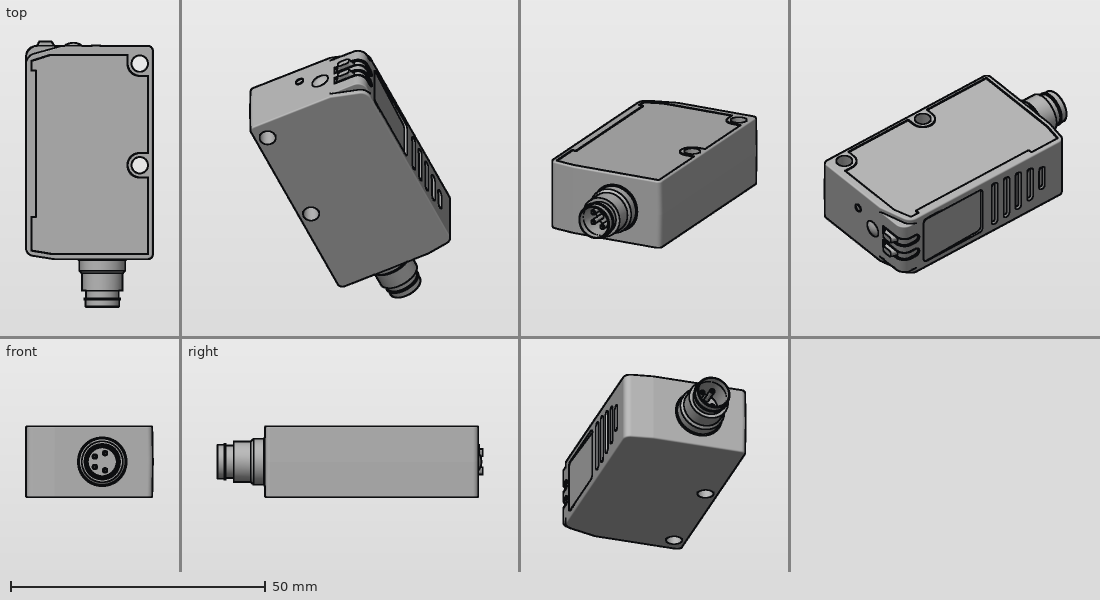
import cadquery as cq
import math


WIDTH = 25.0
LENGTH = 42.0
HEIGHT = 14.0
HALF_HEIGHT = HEIGHT / 2
SIDE_DRAFT = 0.13
BACK_CORNER_RADIUS = 1.05
RIM_RADIUS = 0.3
FRONT_TAPER_START = 5.6
FRONT_TAPER_ANGLE = 9.0
FRONT_CORNER_RADIUS = 1.5
FRONT_TAPER_BLEND_RADIUS = 2.1
REAR_CORNER_RADIUS = 2.1

NOTCH_DEPTH = 1.1
NOTCH_START = 7.15
NOTCH_ANGLE = 15.5
NOTCH_CORNER_RADIUS = 2.2

SHOULDER_WIDTH = 9.4
SHOULDER_LENGTH = 6.3
SHOULDER_RIM_RADIUS = 0.2

HOLE_DIAMETER = 3.2
HOLE_X = WIDTH - 2.6
REAR_HOLE_Y = LENGTH - 3.5
HOLE_SPACING = 20.0

LABEL_DEPTH = 0.1
LABEL_WALL_SLOPE = 45
LABEL_LEFT = 1.05
LABEL_STEP = 0.85
LABEL_RIGHT = 24.05
LABEL_FRONT = 1.0
LABEL_REAR = 40.25
LABEL_STEP_FRONT = 8.4
LABEL_STEP_REAR = 37.1
LABEL_FRONT_TAPER_X = 5.1
LABEL_FRONT_CORNER_Y = 1.65
LABEL_REAR_TAPER_X = 4.8
LABEL_REAR_CORNER_Y = 39.05
LABEL_HOLE_RADIUS = 2.35

WINDOW_LENGTH = 14.95
WINDOW_HEIGHT = 10.95
WINDOW_REAR_Y = LENGTH - 5.35
WINDOW_CORNER_RADIUS = 0.85
WINDOW_SHALLOW = 0.1
WINDOW_DEEP = 0.6

FIRST_SLOT_Y = 18.6
LAST_SLOT_Y = 6.6
SLOT_WIDTH = 1.5
SLOT_HEIGHTS = (10.55, 10.25, 9.4, 8.15, 5.65)
SLOT_DEPTH = 0.4
SLOT_FLOOR_WIDTH = 0.75

BUTTON_Z = 1.8
CHANNEL_WIDTH = 1.85
CHANNEL_DEPTH = 0.3
CHANNEL_WALL_CHAMFER = 0.15
CHANNEL_END_X = 6.3
CHANNEL_END_Y = LENGTH - 4.25

BUTTON_FOOT_START = 2.05
BUTTON_FOOT_END = 5.8
BUTTON_TOP_START = 2.6
BUTTON_TOP_END = 5.0
BUTTON_RISE = 0.9
BUTTON_HEIGHT = 1.45
BUTTON_CORNER_RADIUS = 0.5

LAMP_X = 9.3
LAMP_RADIUS = 1.7
LAMP_RISE = 0.65
MARKER_X = 13.75
MARKER_Z = 2.5
MARKER_DIAMETER = 1.6
MARKER_RISE = 0.15

CONNECTOR_X = 15.0
OVERALL_LENGTH = 52.3
CONNECTOR_LENGTH = OVERALL_LENGTH - LENGTH - BUTTON_RISE
FOOT_RADIUS = 4.8
FOOT_LENGTH = 0.2
COLLAR_RADIUS = 4.55
COLLAR_END = 2.2
BARREL_RADIUS = 4.05
BARREL_START = 2.75
BARREL_END = 6.15
NECK_RADIUS = 3.25
BEAD_RADIUS = 3.5
BEAD_START = 7.7
BEAD_WIDTH = 0.25
LIP_RADIUS = 3.35
LIP_CHAMFER = 0.15
BORE_FLOOR_RADIUS = 2.8
BORE_MOUTH_RADIUS = 3.15
BORE_DEPTH = 6.3

PIN_RADIUS = 0.45
PIN_TIP_RADIUS = 0.25
PIN_TIP_LENGTH = 0.2
PIN_LENGTH = 3.9
PIN_CIRCLE_RADIUS = 1.8
PIN_ANGLES = (72, 145, 215, 288)


def corner_cutter(slope_angle, slope_start, radius):
    """Full-height waste outside a -Y corner that slopes back and rounds into the -X face."""
    slope = math.radians(slope_angle)
    half_turn = (math.pi / 2 - slope) / 2
    tangent = radius * math.tan(half_turn)
    side_end_y = slope_start * math.tan(slope) + tangent
    slope_end = (tangent * math.cos(slope), (slope_start - tangent * math.cos(slope)) * math.tan(slope))
    arc_mid = (radius - radius * math.cos(half_turn), side_end_y - radius * math.sin(half_turn))
    return (
        cq.Workplane("XY", origin=(0, 0, -HALF_HEIGHT))
        .moveTo(slope_start, 0)
        .lineTo(*slope_end)
        .threePointArc(arc_mid, (0, side_end_y))
        .lineTo(0, 0)
        .close()
        .extrude(HEIGHT)
    )


def make_block():
    """Full-height block with a drafted +X face, shaped corners and rounded rims."""
    block = (
        cq.Workplane("XZ")
        .polyline([
            (0, -HALF_HEIGHT),
            (WIDTH - SIDE_DRAFT, -HALF_HEIGHT),
            (WIDTH, 0),
            (WIDTH - SIDE_DRAFT, HALF_HEIGHT),
            (0, HALF_HEIGHT),
        ])
        .close()
        .extrude(-LENGTH)
    )
    back_side = cq.selectors.BoxSelector((WIDTH / 2, -0.5, -HEIGHT), (WIDTH + 0.5, LENGTH + 0.5, HEIGHT))
    block = block.edges("#Y").edges("not |X").edges(back_side).fillet(BACK_CORNER_RADIUS)
    front_waste = corner_cutter(FRONT_TAPER_ANGLE, FRONT_TAPER_START, FRONT_CORNER_RADIUS)
    rear_waste = corner_cutter(NOTCH_ANGLE, NOTCH_START, NOTCH_CORNER_RADIUS)
    block = block.cut(front_waste).cut(rear_waste.mirror("XZ").translate((0, LENGTH, 0)))
    taper_edge = cq.selectors.NearestToPointSelector((FRONT_TAPER_START, 0, 0))
    block = block.edges("|Z").edges(taper_edge).fillet(FRONT_TAPER_BLEND_RADIUS)
    return block.faces(">Z or <Z").edges().fillet(RIM_RADIUS)


def make_shoulder():
    """Lower block that fills the rear corner between the two notches."""
    return (
        cq.Workplane("XY", origin=(0, LENGTH - SHOULDER_LENGTH, NOTCH_DEPTH - HALF_HEIGHT))
        .rect(SHOULDER_WIDTH, SHOULDER_LENGTH, centered=False)
        .extrude(HEIGHT - 2 * NOTCH_DEPTH)
        .edges("|Z and <X and >Y")
        .fillet(REAR_CORNER_RADIUS)
        .faces(">Z or <Z")
        .edges()
        .fillet(SHOULDER_RIM_RADIUS)
    )


def make_label_recess():
    """Shallow pocket that skirts the mounting holes and has sloped walls."""
    step_x = LABEL_LEFT + LABEL_STEP
    front_hole_y = REAR_HOLE_Y - HOLE_SPACING
    bay_x = HOLE_X - LABEL_HOLE_RADIUS
    diagonal = LABEL_HOLE_RADIUS * math.sqrt(0.5)
    return (
        cq.Workplane("XY", origin=(0, 0, HALF_HEIGHT))
        .moveTo(LABEL_RIGHT, LABEL_FRONT)
        .lineTo(LABEL_RIGHT, front_hole_y - LABEL_HOLE_RADIUS)
        .lineTo(HOLE_X, front_hole_y - LABEL_HOLE_RADIUS)
        .threePointArc((bay_x, front_hole_y), (HOLE_X, front_hole_y + LABEL_HOLE_RADIUS))
        .lineTo(LABEL_RIGHT, front_hole_y + LABEL_HOLE_RADIUS)
        .lineTo(LABEL_RIGHT, REAR_HOLE_Y - LABEL_HOLE_RADIUS)
        .lineTo(HOLE_X, REAR_HOLE_Y - LABEL_HOLE_RADIUS)
        .threePointArc((HOLE_X - diagonal, REAR_HOLE_Y - diagonal), (bay_x, REAR_HOLE_Y))
        .lineTo(bay_x, LABEL_REAR)
        .lineTo(LABEL_REAR_TAPER_X, LABEL_REAR)
        .lineTo(LABEL_LEFT, LABEL_REAR_CORNER_Y)
        .lineTo(LABEL_LEFT, LABEL_STEP_REAR)
        .lineTo(step_x, LABEL_STEP_REAR)
        .lineTo(step_x, LABEL_STEP_FRONT)
        .lineTo(LABEL_LEFT, LABEL_STEP_FRONT)
        .lineTo(LABEL_LEFT, LABEL_FRONT_CORNER_Y)
        .lineTo(LABEL_FRONT_TAPER_X, LABEL_FRONT)
        .close()
        .extrude(-LABEL_DEPTH, taper=LABEL_WALL_SLOPE)
    )


def make_window_recess():
    """Rounded rectangular pocket with a sloping floor."""
    front_y = WINDOW_REAR_Y - WINDOW_LENGTH
    wedge = (
        cq.Workplane("XY", origin=(0, 0, -WINDOW_HEIGHT / 2))
        .polyline([(0, front_y), (WINDOW_DEEP, front_y), (WINDOW_SHALLOW, WINDOW_REAR_Y), (0, WINDOW_REAR_Y)])
        .close()
        .extrude(WINDOW_HEIGHT)
    )
    outline = (
        cq.Workplane("YZ", origin=(0, (front_y + WINDOW_REAR_Y) / 2, 0))
        .rect(WINDOW_LENGTH, WINDOW_HEIGHT)
        .extrude(WINDOW_DEEP)
        .edges("|X")
        .fillet(WINDOW_CORNER_RADIUS)
    )
    return wedge.intersect(outline)


def make_grip_slot(y, height):
    """Round-ended slot with walls that slope to a narrower floor."""
    inset = (SLOT_WIDTH - SLOT_FLOOR_WIDTH) / 2
    taper = math.degrees(math.atan(inset / SLOT_DEPTH))
    return (
        cq.Workplane("YZ", origin=(0, y, 0))
        .slot2D(height, SLOT_WIDTH, 90)
        .extrude(SLOT_DEPTH, taper=taper)
    )


def make_channel(z):
    """Round-ended groove of constant depth that follows the rear corner."""
    core = (
        cq.Workplane("XY", origin=(CHANNEL_DEPTH, 0, -HALF_HEIGHT))
        .rect(WIDTH, LENGTH - CHANNEL_DEPTH, centered=False)
        .extrude(HEIGHT)
        .edges("|Z and <X and >Y")
        .fillet(REAR_CORNER_RADIUS - CHANNEL_DEPTH)
    )
    end_radius = CHANNEL_WIDTH / 2
    band = (
        cq.Workplane("YZ", origin=(0, 0, z))
        .moveTo(LENGTH, -end_radius)
        .lineTo(CHANNEL_END_Y + end_radius, -end_radius)
        .threePointArc((CHANNEL_END_Y, 0), (CHANNEL_END_Y + end_radius, end_radius))
        .lineTo(LENGTH, end_radius)
        .close()
        .extrude(CHANNEL_END_X)
    )
    floor_zone = cq.selectors.BoxSelector(
        (CHANNEL_DEPTH / 2, 0, -HEIGHT),
        (CHANNEL_END_X + 0.5, LENGTH - CHANNEL_DEPTH / 2, HEIGHT),
        boundingbox=True,
    )
    return band.cut(core).edges(floor_zone).edges("not |Z").chamfer(CHANNEL_WALL_CHAMFER)


def make_housing():
    housing = make_block().union(make_shoulder()).cut(make_label_recess()).cut(make_window_recess())
    slot_pitch = (FIRST_SLOT_Y - LAST_SLOT_Y) / (len(SLOT_HEIGHTS) - 1)
    for number, height in enumerate(SLOT_HEIGHTS):
        housing = housing.cut(make_grip_slot(FIRST_SLOT_Y - number * slot_pitch, height))
    for z in (-BUTTON_Z, BUTTON_Z):
        housing = housing.cut(make_channel(z))
    holes = (
        cq.Workplane("XY", origin=(0, 0, -HALF_HEIGHT))
        .pushPoints([(HOLE_X, REAR_HOLE_Y), (HOLE_X, REAR_HOLE_Y - HOLE_SPACING)])
        .circle(HOLE_DIAMETER / 2)
        .extrude(HEIGHT)
    )
    marker = (
        cq.Workplane("XZ", origin=(MARKER_X, LENGTH, MARKER_Z))
        .circle(MARKER_DIAMETER / 2)
        .extrude(-MARKER_RISE)
    )
    return housing.cut(holes).union(marker)


def make_button(z):
    """Tapered button with rounded corners that stands on the channel floor."""
    floor_y = LENGTH - CHANNEL_DEPTH
    top_y = LENGTH + BUTTON_RISE
    return (
        cq.Workplane("XY", origin=(0, 0, z - BUTTON_HEIGHT / 2))
        .polyline([
            (BUTTON_FOOT_START, floor_y),
            (BUTTON_TOP_START, top_y),
            (BUTTON_TOP_END, top_y),
            (BUTTON_FOOT_END, floor_y),
        ])
        .close()
        .extrude(BUTTON_HEIGHT)
        .edges("not (|X or |Z)")
        .fillet(BUTTON_CORNER_RADIUS)
    )


def make_lamp():
    """Spherical cap on the +Y face."""
    sphere_radius = (LAMP_RADIUS ** 2 + LAMP_RISE ** 2) / (2 * LAMP_RISE)
    half_angle = math.asin(LAMP_RADIUS / sphere_radius) / 2
    centre_y = LAMP_RISE - sphere_radius
    arc_mid = (sphere_radius * math.sin(half_angle), centre_y + sphere_radius * math.cos(half_angle))
    return (
        cq.Workplane("XY", origin=(LAMP_X, LENGTH, 0))
        .lineTo(LAMP_RADIUS, 0)
        .threePointArc(arc_mid, (0, LAMP_RISE))
        .close()
        .revolve(360, (0, 0), (0, 1))
    )


def make_connector():
    """Stepped round plug with a blind tapered bore, along -Y."""
    end = CONNECTOR_LENGTH
    profile = [
        (0, 0),
        (FOOT_RADIUS, 0),
        (COLLAR_RADIUS, -FOOT_LENGTH),
        (COLLAR_RADIUS, -COLLAR_END),
        (BARREL_RADIUS, -BARREL_START),
        (BARREL_RADIUS, -BARREL_END),
        (NECK_RADIUS, -BARREL_END),
        (NECK_RADIUS, -BEAD_START),
        (BEAD_RADIUS, -BEAD_START),
        (BEAD_RADIUS, -BEAD_START - BEAD_WIDTH),
        (LIP_RADIUS, -BEAD_START - BEAD_WIDTH),
        (LIP_RADIUS, -end + LIP_CHAMFER),
        (LIP_RADIUS - LIP_CHAMFER, -end),
        (BORE_MOUTH_RADIUS, -end),
        (BORE_FLOOR_RADIUS, -end + BORE_DEPTH),
        (0, -end + BORE_DEPTH),
    ]
    return (
        cq.Workplane("XY", origin=(CONNECTOR_X, 0, 0))
        .polyline(profile)
        .close()
        .revolve(360, (0, 0), (0, 1))
    )


def make_pin(angle):
    """Contact pin with a tapered tip, standing on the bore floor."""
    turn = math.radians(angle)
    x = CONNECTOR_X + PIN_CIRCLE_RADIUS * math.cos(turn)
    z = PIN_CIRCLE_RADIUS * math.sin(turn)
    floor_y = BORE_DEPTH - CONNECTOR_LENGTH
    return (
        cq.Workplane("XZ", origin=(x, floor_y, z))
        .circle(PIN_RADIUS)
        .extrude(PIN_LENGTH)
        .faces("<Y")
        .chamfer(PIN_TIP_LENGTH, PIN_RADIUS - PIN_TIP_RADIUS)
    )


housing = make_housing()
connector = make_connector()
lamp = make_lamp()
buttons = [make_button(z) for z in (-BUTTON_Z, BUTTON_Z)]
pins = [make_pin(angle) for angle in PIN_ANGLES]

result = cq.Compound.makeCompound([
    housing.val(),
    connector.val(),
    lamp.val(),
    *[button.val() for button in buttons],
    *[pin.val() for pin in pins],
])